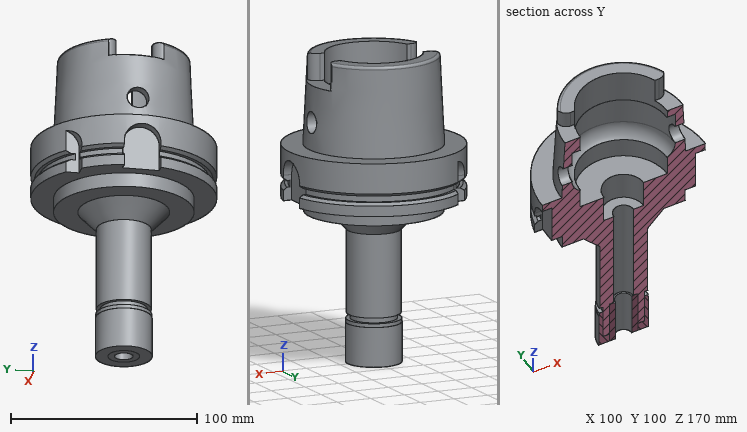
import cadquery as cq
import math

TOTAL_HEIGHT = 170.0
FLANGE_TOP = 120.0

TAPER_BASE_RADIUS = 38.0
TAPER_RATE = 1 / 20
TAPER_RIM_FILLET = 1.7
TAPER_TOP_RADIUS = TAPER_BASE_RADIUS - TAPER_RATE * (TOTAL_HEIGHT - FLANGE_TOP)

MOUTH_RADIUS = 26.5
MOUTH_DEPTH = 20.0
CAVITY_RADIUS = 31.5
CAVITY_DEPTH = 41.0
CAVITY_ARC_RADIUS = 10.0
LOWER_BORE_DEPTH = 61.5
COOLANT_RADIUS = 12.0
COOLANT_DEPTH = 17.0
CHANNEL_RADIUS = 6.0

NOTCH_WIDTH = 20.0
NOTCH_FLARE_RADIUS = 5.1
NOTCH_SHOULDER_X = 32.1
LEFT_NOTCH_DEPTH = 10.0
RIGHT_NOTCH_DEPTH = 15.0

CROSS_HOLE_RADIUS = 6.0
CROSS_HOLE_Z = 135.0

FLANGE_RADIUS = 50.0
FLANGE_THICKNESS = 29.0
FLANGE_BOTTOM = FLANGE_TOP - FLANGE_THICKNESS
UPPER_LIP_THICKNESS = 16.7
LOWER_LIP_THICKNESS = 5.8
GROOVE_RADIUS = 46.0
GROOVE_CHAMFER_HEIGHT = 1.5
GROOVE_CHAMFER_WIDTH = 2.0

SLOT_RADIUS = 10.0
SLOT_CENTER_Z = 105.0
KEYWAY_FLOOR_X = 44.0
SIDE_SLOT_FLOOR_X = 31.8
SIDE_SLOT_Y = 41.3

BOSS_RADIUS = 37.7
BOSS_HEIGHT = 7.8
BOSS_BOTTOM = FLANGE_BOTTOM - BOSS_HEIGHT
CONE_RADIUS = 24.6
CONE_HEIGHT = 10.0
CONE_BOTTOM = BOSS_BOTTOM - CONE_HEIGHT
SHANK_RADIUS = 14.8
NOSE_RADIUS = 12.8
NOSE_GAP = 3.0

NUT_RADIUS = 15.3
NUT_COLLAR_RADIUS = 15.1
NUT_COLLAR_HEIGHT = 2.0
NUT_HEIGHT = 24.0
NUT_LIP_THICKNESS = 5.1
COLLET_RADIUS = 8.5
COLLET_BORE_RADIUS = 5.0
COLLET_LENGTH = 27.2


def cylinder(radius, bottom, top):
    return cq.Workplane("XY").workplane(offset=bottom).circle(radius).extrude(top - bottom)


def revolved(outline):
    """Solid of revolution about Z of a closed outline in the XZ plane."""
    return outline.revolve(360, (0, 0, 0), (0, 1, 0))


def holder_blank():
    """Turned outer shape of the holder, from the nose end up to the taper rim."""
    shank_bottom = NUT_HEIGHT + NOSE_GAP
    upper_lip_bottom = FLANGE_TOP - UPPER_LIP_THICKNESS
    lower_lip_top = FLANGE_BOTTOM + LOWER_LIP_THICKNESS
    groove_edge_radius = FLANGE_RADIUS - GROOVE_CHAMFER_WIDTH
    groove_top = upper_lip_bottom - GROOVE_CHAMFER_HEIGHT
    groove_bottom = lower_lip_top + GROOVE_CHAMFER_HEIGHT
    points = [
        (0, NUT_LIP_THICKNESS),
        (NOSE_RADIUS, NUT_LIP_THICKNESS),
        (NOSE_RADIUS, shank_bottom),
        (SHANK_RADIUS, shank_bottom),
        (SHANK_RADIUS, CONE_BOTTOM),
        (CONE_RADIUS, BOSS_BOTTOM),
        (BOSS_RADIUS, BOSS_BOTTOM),
        (BOSS_RADIUS, FLANGE_BOTTOM),
        (FLANGE_RADIUS, FLANGE_BOTTOM),
        (FLANGE_RADIUS, lower_lip_top),
        (groove_edge_radius, groove_bottom),
        (GROOVE_RADIUS, groove_bottom),
        (GROOVE_RADIUS, groove_top),
        (groove_edge_radius, groove_top),
        (FLANGE_RADIUS, upper_lip_bottom),
        (FLANGE_RADIUS, FLANGE_TOP),
        (TAPER_BASE_RADIUS, FLANGE_TOP),
        (TAPER_TOP_RADIUS, TOTAL_HEIGHT),
        (0, TOTAL_HEIGHT),
    ]
    outline = cq.Workplane("XZ").polyline(points).close()
    return revolved(outline).faces(">Z").edges().fillet(TAPER_RIM_FILLET)


def holder_bore():
    """Clamping cavity, coolant hole, channel and collet seat along the axis."""
    mouth_bottom = TOTAL_HEIGHT - MOUTH_DEPTH
    cavity_bottom = TOTAL_HEIGHT - CAVITY_DEPTH
    bore_floor = TOTAL_HEIGHT - LOWER_BORE_DEPTH
    coolant_floor = bore_floor - COOLANT_DEPTH
    arc_inset = CAVITY_RADIUS - MOUTH_RADIUS
    arc_height = math.sqrt(CAVITY_ARC_RADIUS**2 - (CAVITY_ARC_RADIUS - arc_inset) ** 2)
    outline = (
        cq.Workplane("XZ")
        .lineTo(COLLET_RADIUS, 0)
        .lineTo(COLLET_RADIUS, COLLET_LENGTH)
        .lineTo(CHANNEL_RADIUS, COLLET_LENGTH)
        .lineTo(CHANNEL_RADIUS, coolant_floor)
        .lineTo(COOLANT_RADIUS, coolant_floor)
        .lineTo(COOLANT_RADIUS, bore_floor)
        .lineTo(MOUTH_RADIUS, bore_floor)
        .lineTo(MOUTH_RADIUS, cavity_bottom - arc_height)
        .radiusArc((CAVITY_RADIUS, cavity_bottom), -CAVITY_ARC_RADIUS)
        .lineTo(CAVITY_RADIUS, mouth_bottom)
        .lineTo(MOUTH_RADIUS, mouth_bottom)
        .lineTo(MOUTH_RADIUS, TOTAL_HEIGHT)
        .lineTo(0, TOTAL_HEIGHT)
        .close()
    )
    return revolved(outline)


def drive_notch(side, depth):
    """Cutter for a rim notch on the +X (side = 1) or -X (side = -1) wall, flaring outward."""
    half_width = NOTCH_WIDTH / 2
    flare_start_x = NOTCH_SHOULDER_X - NOTCH_FLARE_RADIUS
    flare_half_width = half_width + NOTCH_FLARE_RADIUS
    notch = (
        cq.Workplane("XY")
        .center(side * FLANGE_RADIUS / 2, 0)
        .rect(FLANGE_RADIUS, NOTCH_WIDTH)
        .extrude(-depth)
    )
    for y_side in (1, -1):
        flare = (
            cq.Workplane("XY")
            .moveTo(side * flare_start_x, y_side * half_width)
            .lineTo(side * FLANGE_RADIUS, y_side * half_width)
            .lineTo(side * FLANGE_RADIUS, y_side * flare_half_width)
            .lineTo(side * NOTCH_SHOULDER_X, y_side * flare_half_width)
            .radiusArc((side * flare_start_x, y_side * half_width), side * y_side * NOTCH_FLARE_RADIUS)
            .close()
            .extrude(-depth)
        )
        notch = notch.union(flare)
    return notch.translate((0, 0, TOTAL_HEIGHT))


def flange_slot(side, floor_x, center_y):
    """Cutter for a flange slot with a round top end, open downward and outward along X."""
    return (
        cq.Workplane("YZ")
        .workplane(offset=side * floor_x)
        .moveTo(center_y - SLOT_RADIUS, FLANGE_BOTTOM)
        .lineTo(center_y + SLOT_RADIUS, FLANGE_BOTTOM)
        .lineTo(center_y + SLOT_RADIUS, SLOT_CENTER_Z)
        .threePointArc((center_y, SLOT_CENTER_Z + SLOT_RADIUS), (center_y - SLOT_RADIUS, SLOT_CENTER_Z))
        .close()
        .extrude(side * (FLANGE_RADIUS - floor_x))
    )


def cross_hole():
    return (
        cq.Workplane("YZ")
        .center(0, CROSS_HOLE_Z)
        .circle(CROSS_HOLE_RADIUS)
        .extrude(FLANGE_RADIUS, both=True)
    )


def make_holder():
    holder = holder_blank().cut(holder_bore()).cut(cross_hole())
    for side, notch_depth in ((-1, LEFT_NOTCH_DEPTH), (1, RIGHT_NOTCH_DEPTH)):
        holder = holder.cut(drive_notch(side, notch_depth))
        holder = holder.cut(flange_slot(side, KEYWAY_FLOOR_X, 0))
    return holder.cut(flange_slot(-1, SIDE_SLOT_FLOOR_X, SIDE_SLOT_Y))


def make_nut():
    """Cap nut around the nose, with a bottom lip that surrounds the collet."""
    collar_bottom = NUT_HEIGHT - NUT_COLLAR_HEIGHT
    body = cylinder(NUT_RADIUS, 0, collar_bottom)
    body = body.union(cylinder(NUT_COLLAR_RADIUS, collar_bottom, NUT_HEIGHT))
    nose_socket = cylinder(NOSE_RADIUS, NUT_LIP_THICKNESS, NUT_HEIGHT)
    collet_hole = cylinder(COLLET_RADIUS, 0, NUT_LIP_THICKNESS)
    return body.cut(nose_socket).cut(collet_hole)


def make_collet():
    """Plain sleeve seated against the shoulder at the end of the channel."""
    sleeve = cylinder(COLLET_RADIUS, 0, COLLET_LENGTH)
    return sleeve.cut(cylinder(COLLET_BORE_RADIUS, 0, COLLET_LENGTH))


holder = make_holder()
nut = make_nut()
collet = make_collet()

result = cq.Compound.makeCompound([holder.val(), nut.val(), collet.val()])